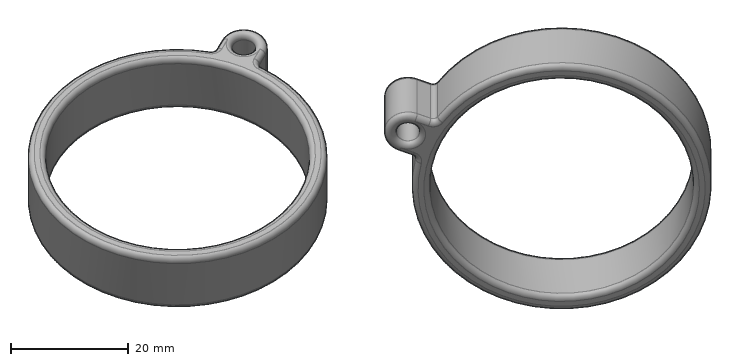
import cadquery as cq
import math

total_length = 58.0
ring_outer_diameter = 51.0
ring_inner_diameter = 45.0
height = 12.0
hole_diameter = 4.0
eyelet_diameter = 8.0
blend_radius = 1.0

ring_radius = ring_outer_diameter / 2
hole_radius = hole_diameter / 2
eyelet_radius = eyelet_diameter / 2
eyelet_center_y = total_length - ring_radius - eyelet_radius

edge_radius = (eyelet_radius - hole_radius) / 2
eyelet_crest_radius = hole_radius + edge_radius

blend_center_x = eyelet_radius + blend_radius
blend_center_distance = ring_radius + blend_radius
blend_center_y = math.sqrt(blend_center_distance**2 - blend_center_x**2)
blend_to_ring_ratio = ring_radius / blend_center_distance
ring_touch_x = blend_center_x * blend_to_ring_ratio
ring_touch_y = blend_center_y * blend_to_ring_ratio

neck_touch_angle = math.pi
ring_touch_angle = math.pi + math.atan2(blend_center_y, blend_center_x)
blend_mid_angle = (neck_touch_angle + ring_touch_angle) / 2
blend_mid_x = blend_center_x + blend_radius * math.cos(blend_mid_angle)
blend_mid_y = blend_center_y + blend_radius * math.sin(blend_mid_angle)


def disc_with_neck():
    """Solid disc with a blended neck that ends flat at the eyelet's center line."""
    return (
        cq.Workplane("XY")
        .moveTo(ring_touch_x, ring_touch_y)
        .threePointArc((blend_mid_x, blend_mid_y), (eyelet_radius, blend_center_y))
        .lineTo(eyelet_radius, eyelet_center_y)
        .lineTo(-eyelet_radius, eyelet_center_y)
        .lineTo(-eyelet_radius, blend_center_y)
        .threePointArc((-blend_mid_x, blend_mid_y), (-ring_touch_x, ring_touch_y))
        .threePointArc((0, -ring_radius), (ring_touch_x, ring_touch_y))
        .close()
        .extrude(height)
    )


def through_cylinder(radius, center_y):
    """Full-height cylinder used to cut a round opening on the Y axis."""
    return cq.Workplane("XY").center(0, center_y).circle(radius).extrude(height)


def eyelet():
    """Tube around the hanging hole, its wall fully rounded at both ends."""
    return (
        cq.Workplane("XZ", origin=(0, eyelet_center_y, 0))
        .moveTo(hole_radius, edge_radius)
        .threePointArc((eyelet_crest_radius, 0), (eyelet_radius, edge_radius))
        .lineTo(eyelet_radius, height - edge_radius)
        .threePointArc((eyelet_crest_radius, height), (hole_radius, height - edge_radius))
        .close()
        .revolve(360, (0, 0), (0, 1))
    )


def make_ring():
    """Ring with its hanging eyelet, rounded on all top and bottom edges."""
    blank = disc_with_neck().cut(through_cylinder(ring_inner_diameter / 2, 0))

    rounded = blank.faces("<Z or >Z").edges("not >Y").fillet(edge_radius)

    cleared = rounded.cut(through_cylinder(eyelet_crest_radius, eyelet_center_y))
    return cleared.union(eyelet())


ring = make_ring()

result = cq.Compound.makeCompound([ring.solids().val()])